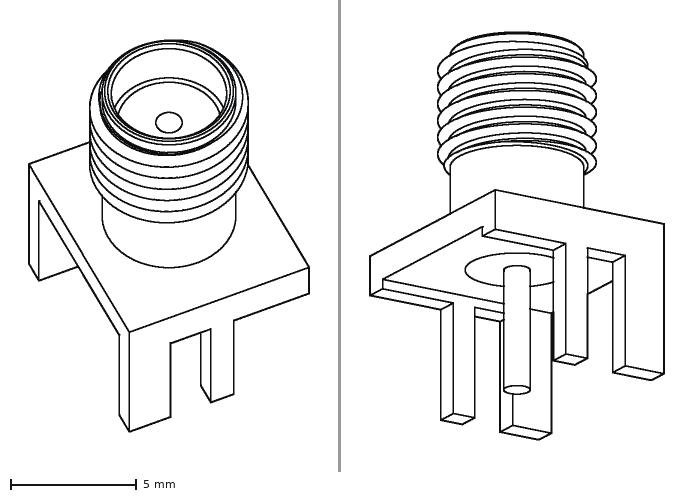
import cadquery as cq
import math

base_length = 9.53
base_width = 7.92
base_top = 6.33
plate_thickness = 1.27
rail_depth = 1.66
leg_thickness = 0.97
corner_leg_width = 1.82
middle_leg_width = 1.01
middle_leg_front = -0.37
plate_bottom = base_top - plate_thickness
rail_bottom = base_top - rail_depth

total_height = 14.22
barrel_radius = 2.67
bore_radius = 2.3
bore_depth = 1.99
outer_rim_chamfer = 0.1
inner_rim_chamfer = 0.14
bore_floor = total_height - bore_depth

thread_bottom = 9.4
thread_turns = 6
thread_pitch = 0.705
thread_crest_radius = 3.17
thread_root_radius = 2.76
thread_flank_angle = 30.0
thread_crest_at_x = 9.84
thread_overlap = 0.04
thread_length = thread_turns * thread_pitch

insulator_radius = 2.08
pin_radius = 0.53


def cylinder(radius, bottom, top):
    return cq.Workplane("XY").workplane(offset=bottom).circle(radius).extrude(top - bottom)


def make_leg(side, front, width, top):
    """Rectangular leg on the -X (side = -1) or +X (side = 1) edge."""
    center_x = side * (base_length - leg_thickness) / 2
    return (
        cq.Workplane("XY")
        .center(center_x, front + width / 2)
        .rect(leg_thickness, width)
        .extrude(top)
    )


def make_frame():
    frame = (
        cq.Workplane("XY")
        .workplane(offset=rail_bottom)
        .rect(base_length, base_width)
        .extrude(rail_depth)
    )
    channel = (
        cq.Workplane("XY")
        .workplane(offset=rail_bottom)
        .rect(base_length - 2 * leg_thickness, base_width)
        .extrude(plate_bottom - rail_bottom)
    )
    frame = frame.cut(channel)
    for side in (-1, 1):
        frame = frame.union(make_leg(side, -base_width / 2, corner_leg_width, base_top))
        frame = frame.union(make_leg(side, middle_leg_front, middle_leg_width, base_top))
    return frame


def make_thread():
    """Root cylinder with a helical V ridge, trimmed flat at both ends."""
    start = thread_crest_at_x - 2 * thread_pitch
    ridge_length = (thread_turns + 2) * thread_pitch
    base_radius = thread_root_radius - thread_overlap
    half_base = (thread_crest_radius - base_radius) * math.tan(math.radians(thread_flank_angle))
    helix = cq.Wire.makeHelix(thread_pitch, ridge_length, base_radius, cq.Vector(0, 0, start))
    ridge = (
        cq.Workplane("XZ")
        .moveTo(base_radius, start - half_base)
        .lineTo(thread_crest_radius, start)
        .lineTo(base_radius, start + half_base)
        .close()
        .sweep(cq.Workplane(obj=helix), isFrenet=True)
    )
    core = cylinder(thread_root_radius, start - thread_pitch, start + ridge_length + thread_pitch)
    trim = cylinder(thread_crest_radius + thread_pitch, thread_bottom, thread_bottom + thread_length)
    return core.union(ridge).intersect(trim)


def make_housing():
    barrel = cylinder(barrel_radius, base_top, total_height).faces(">Z").edges().chamfer(outer_rim_chamfer)
    housing = make_frame().union(barrel).union(make_thread())
    housing = housing.cut(cylinder(bore_radius, bore_floor, total_height))
    housing = housing.cut(cylinder(insulator_radius, plate_bottom, bore_floor))
    bore_edge = cq.selectors.RadiusNthSelector(0)
    return housing.faces(">Z").edges(bore_edge).chamfer(inner_rim_chamfer)


def make_insulator():
    """Filling of the barrel around the pin, flush with the bore floor and the plate underside."""
    insulator = cylinder(insulator_radius, plate_bottom, bore_floor)
    return insulator.cut(cylinder(pin_radius, plate_bottom, bore_floor))


def make_pin():
    return cylinder(pin_radius, 0, bore_floor)


housing = make_housing()
insulator = make_insulator()
pin = make_pin()

result = cq.Compound.makeCompound([housing.val(), insulator.val(), pin.val()])